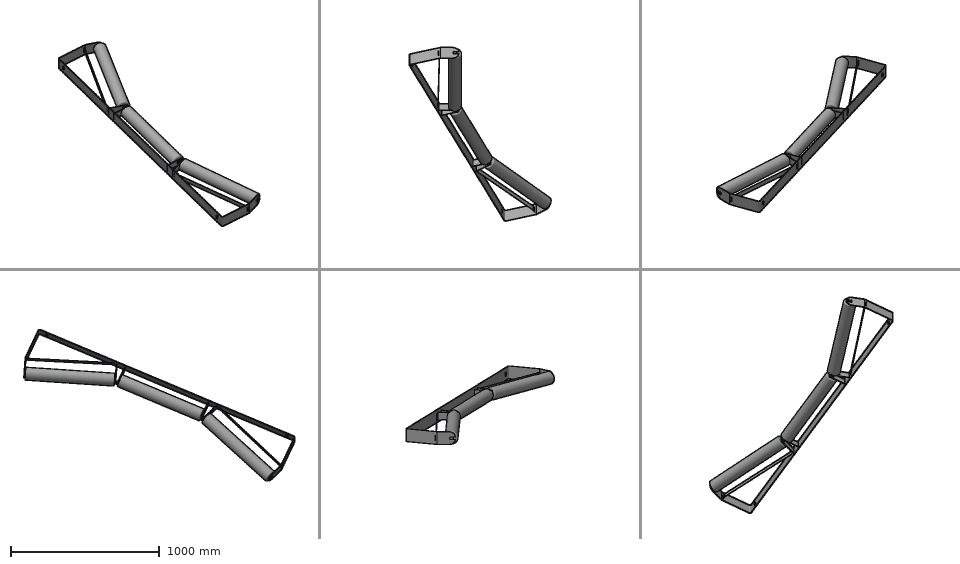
import cadquery as cq
import math

frame_length = 1890.0
mid_x = frame_length / 2
strip_width = 89.0
strip_thickness = 5.0

roller_diameter = 89.0
roller_length = 601.0
roller_edge_radius = 5.0
shaft_diameter = 25.0
shaft_flat_width = 17.0
trough_angle = 20.0
middle_axis_y = 102.0
end_clearance = 4.0
shaft_overhang = end_clearance + strip_thickness

wall_bend_y = 227.0
arm_length_to_axis = 98.0
arm_tip_past_axis = 28.0
corner_radius = 13.0
mount_slot_x = 60.0
mount_slot_width = 17.0
mount_slot_height = 28.0

bracket_width = 53.0
bracket_top_y = 129.0
bracket_bend_radius = 8.0
brace_width = 34.0
brace_thickness = 4.0
brace_tab_y = 215.0
brace_bend_x = 19.0
brace_foot_x = 558.0

tilt = math.radians(trough_angle)
axis_dir = (math.cos(tilt), -math.sin(tilt))
face_dir = (math.sin(tilt), math.cos(tilt))


def shifted(point, direction, distance):
    return (point[0] + direction[0] * distance, point[1] + direction[1] * distance)


def on_face_line(point, y):
    """Point at height y on the line through the given point along the wing's end face."""
    return (point[0] + (y - point[1]) * math.tan(tilt), y)


arm_bend = (0, wall_bend_y)
arm_axis = shifted(arm_bend, face_dir, arm_length_to_axis)
wing_start = shifted(arm_axis, axis_dir, shaft_overhang)
wing_end = shifted(wing_start, axis_dir, roller_length)
middle_start = (mid_x - roller_length / 2, middle_axis_y)


def prism(points, width):
    """Outline in the XY plane, extruded evenly to both sides of Z = 0."""
    return cq.Workplane("XY").polyline(points).close().extrude(width / 2, both=True)


def mirrored(body):
    return body.mirror("YZ", (mid_x, 0, 0))


def axis_plane(point, angle):
    """Plane across a roller axis: local y points up the end face, the normal along the axis."""
    turn = math.radians(angle)
    return cq.Plane(
        origin=(point[0], point[1], 0),
        xDir=(0, 0, -1),
        normal=(math.cos(turn), -math.sin(turn), 0),
    )


def flatted_rod(plane, length):
    rod = cq.Workplane(plane).circle(shaft_diameter / 2).extrude(length)
    flats = cq.Workplane(plane).rect(shaft_flat_width, shaft_diameter).extrude(length)
    return rod.intersect(flats)


def make_roller(start, angle):
    plane = axis_plane(start, angle)
    barrel = cq.Workplane(plane).circle(roller_diameter / 2).extrude(roller_length)
    barrel = barrel.faces("%PLANE").edges().fillet(roller_edge_radius)
    shaft_plane = cq.Workplane(plane).workplane(offset=-shaft_overhang).plane
    shaft = flatted_rod(shaft_plane, roller_length + 2 * shaft_overhang)
    return barrel.union(shaft)


def shaft_notch(point, angle, height):
    """Cutter for the open slot that a shaft end drops into, one strip thickness deep."""
    plane = axis_plane(point, angle)
    opening = cq.Workplane(plane).center(0, height / 2).rect(shaft_flat_width, height)
    return flatted_rod(plane, strip_thickness).union(opening.extrude(strip_thickness))


brace_foot = (brace_foot_x, strip_thickness)
brace_outline = [
    (0, brace_tab_y),
    (brace_bend_x, brace_tab_y),
    shifted(brace_foot, face_dir, brace_thickness),
    brace_foot,
    (brace_bend_x, brace_tab_y - brace_thickness),
    (0, brace_tab_y - brace_thickness),
]


def make_brace():
    return prism(brace_outline, brace_width)


def make_frame():
    arm_tip = shifted(arm_axis, face_dir, arm_tip_past_axis)
    arm_tip_inner = shifted(arm_tip, axis_dir, strip_thickness)
    wall_bend_inner_y = wall_bend_y - strip_thickness * math.tan(tilt / 2)
    half = prism(
        [
            (mid_x, 0),
            (0, 0),
            arm_bend,
            arm_tip,
            arm_tip_inner,
            (strip_thickness, wall_bend_inner_y),
            (strip_thickness, strip_thickness),
            (mid_x, strip_thickness),
        ],
        strip_width,
    )
    outer_corner = cq.NearestToPointSelector((0, 0, 0))
    half = half.edges(outer_corner).fillet(corner_radius)
    inner_corner = cq.NearestToPointSelector((strip_thickness, strip_thickness, 0))
    half = half.edges(inner_corner).fillet(corner_radius - strip_thickness)

    tip_plane = axis_plane(arm_tip, trough_angle)
    corners = cq.Workplane(tip_plane).rect(strip_width, strip_width).extrude(strip_thickness)
    disc = cq.Workplane(tip_plane).center(0, -strip_width / 2).circle(strip_width / 2)
    half = half.cut(corners.cut(disc.extrude(strip_thickness)))

    half = half.cut(shaft_notch(arm_axis, trough_angle, roller_diameter))
    mount_slot = (
        cq.Workplane("XZ", origin=(mount_slot_x, strip_thickness, 0))
        .slot2D(mount_slot_height, mount_slot_width, 90)
        .extrude(strip_thickness)
    )
    half = half.cut(mount_slot).cut(make_brace())
    return half.union(mirrored(half))


def make_bracket():
    lean_near = shifted(wing_end, axis_dir, end_clearance)
    lean_far = shifted(wing_end, axis_dir, shaft_overhang)
    post_near_x = middle_start[0] - end_clearance
    post_far_x = middle_start[0] - shaft_overhang
    under_top_y = bracket_top_y - strip_thickness
    lean_top = on_face_line(lean_near, bracket_top_y)
    bracket = prism(
        [
            on_face_line(lean_near, strip_thickness),
            lean_top,
            (post_near_x, bracket_top_y),
            (post_near_x, strip_thickness),
            (post_far_x, strip_thickness),
            (post_far_x, under_top_y),
            on_face_line(lean_far, under_top_y),
            on_face_line(lean_far, strip_thickness),
        ],
        bracket_width,
    )
    for bend in (lean_top, (post_near_x, bracket_top_y)):
        bracket = bracket.edges(cq.NearestToPointSelector((*bend, 0))).fillet(bracket_bend_radius)

    top_opening = prism(
        [
            (lean_near[0], wing_end[1]),
            (lean_near[0], bracket_top_y),
            (post_near_x, bracket_top_y),
            (post_near_x, wing_end[1]),
        ],
        shaft_flat_width,
    )
    lean_notch = shaft_notch(lean_near, trough_angle, shaft_diameter)
    post_notch = shaft_notch((post_far_x, middle_axis_y), 0, shaft_diameter)
    return bracket.cut(lean_notch).cut(post_notch).cut(top_opening)


frame = make_frame()
middle_roller = make_roller(middle_start, 0)
left_wing_roller = make_roller(wing_start, trough_angle)
left_bracket = make_bracket()
left_brace = make_brace()

bodies = [frame.solids().val(), middle_roller.solids().val()]
for left_body in (left_wing_roller, left_bracket, left_brace):
    bodies.append(left_body.solids().val())
    bodies.append(mirrored(left_body).solids().val())

result = cq.Compound.makeCompound(bodies)